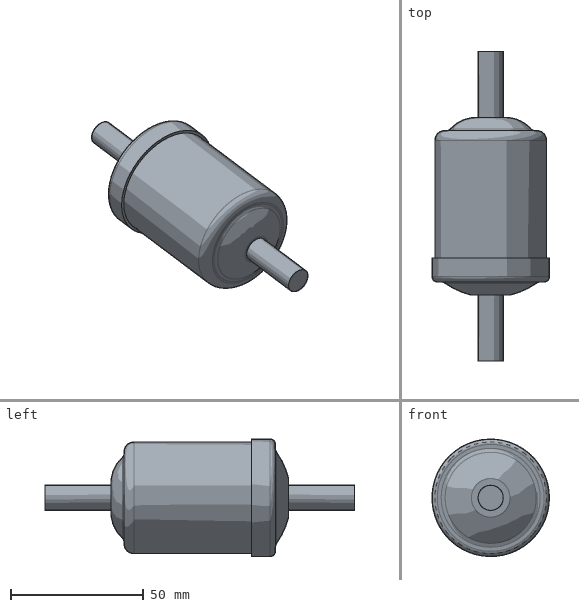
import cadquery as cq
import math

overall_length = 117.0
tube_radius = 9.5 / 2
body_radius = 21.1
collar_radius = 22.2

tube_end = overall_length / 2
crown_offset = 33.6
shoulder_offset = 28.6
collar_back_offset = 19.5

front_dome_radius = 30.0
front_crown_radius = 7.3

back_crown_radius = 5.5
back_arc_radius = 13.1

collar_rim_fillet = 2.0
body_rim_fillet = 3.7
front_root_fillet = 2.6
back_root_fillet = 1.9

edge_tolerance = 1e-3


def cylinder(radius, y_start, y_end):
    """Solid cylinder on the Y axis between two positions."""
    base = cq.Workplane("XZ", origin=(0, y_end, 0))
    return base.circle(radius).extrude(y_end - y_start)


def dome(crown_radius, root_radius, arc_radius, side):
    """Solid dome from the middle plane to its flat crown; side is +1 for +Y and -1 for -Y."""
    crown_y = side * crown_offset
    return (
        cq.Workplane("XY")
        .lineTo(root_radius, 0)
        .lineTo(root_radius, side * shoulder_offset)
        .radiusArc((crown_radius, crown_y), -side * arc_radius)
        .lineTo(0, crown_y)
        .close()
        .revolve(360, (0, 0, 0), (0, 1, 0))
    )


def fillet_circle(solid, radius, y, size):
    """Fillet the circular edge that has the given radius and position along Y."""

    def matches(edge):
        same_radius = abs(edge.radius() - radius) < edge_tolerance
        return same_radius and abs(edge.Center().y - y) < edge_tolerance

    return solid.edges("%CIRCLE").filter(matches).fillet(size)


body = cylinder(body_radius, -collar_back_offset, shoulder_offset)
body = body.faces(">Y").edges().fillet(body_rim_fillet)
collar = cylinder(collar_radius, -shoulder_offset, -collar_back_offset)
collar = collar.faces("<Y").edges().fillet(collar_rim_fillet)

sphere_centre_depth = crown_offset - math.sqrt(front_dome_radius**2 - front_crown_radius**2)
front_root_radius = math.sqrt(front_dome_radius**2 - (shoulder_offset - sphere_centre_depth) ** 2)
front_dome = dome(front_crown_radius, front_root_radius, front_dome_radius, -1)

arc_centre_depth = crown_offset - back_arc_radius
back_arc_reach = math.sqrt(back_arc_radius**2 - (shoulder_offset - arc_centre_depth) ** 2)
back_root_radius = back_crown_radius + back_arc_reach
back_dome = dome(back_crown_radius, back_root_radius, back_arc_radius, 1)

tube = cylinder(tube_radius, -tube_end, tube_end)

shell = body.union(collar).union(front_dome).union(back_dome)
shell = fillet_circle(shell, front_root_radius, -shoulder_offset, front_root_fillet)
shell = fillet_circle(shell, back_root_radius, shoulder_offset, back_root_fillet)
result = shell.union(tube)